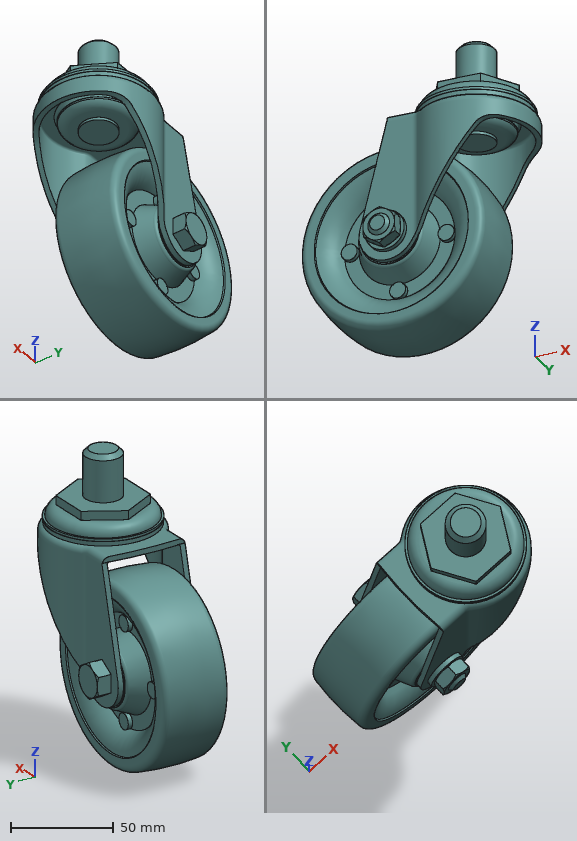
import cadquery as cq
import math


wheel_radius = 50.0
wheel_half_width = 18.9
tread_edge_radius = 49.1
tread_half_width = 15.4
tread_corner_radius = 3.7
rim_outer_radius = 45.4
rim_inner_radius = 41.4
rim_lip_width = 0.4
rim_lip_depth = 0.8
dish_radius = 29.6
dish_sag = 1.6
web_half_thickness = 9.0
hub_root_radius = 21.8
hub_shoulder_radius = 17.5
hub_shoulder_y = 18.8
hub_edge_radius = 1.9
hub_half_length = 20.4
spacer_radius = 15.7
stud_count = 4
stud_circle_radius = 26.0
stud_radius = 4.3
stud_height = 2.5

swivel_offset = 37.0
wall = 3.0
fork_half_width = 24.0
fork_radius = 32.0
fork_top_z = 113.7
fork_skirt_z = 102.0
skirt_corner_radius = 12.0
leg_end_radius = 15.0
rear_edge_angle = 56.0
bend_radius = 5.0
top_edge_radius = 4.0
inner_top_edge_radius = 1.3
lip_reach = 38.5
lip_sag = 1.4
axle_z = wheel_radius
axle_x = -swivel_offset
fork_inner_half_width = fork_half_width - wall
fork_underside_z = fork_top_z - wall

bolt_radius = 6.0
bolt_chamfer = 2.0
bolt_end_y = -35.4
hex_width = 17.0
head_height = 8.0
nut_height = 7.0
washer_radius = 10.5
washer_thickness = 2.6
hex_chamfer_angle = 30.0

stem_radius = 10.0
stem_chamfer = 2.5
stem_top_z = 153.0
collar_width = 40.0
collar_top_z = 128.2
collar_height = 4.8
cap_radius = 28.5
cap_edge_radius = 6.0
flange_radius = 29.75
flange_top_z = 117.5
flange_thickness = 1.4
seat_radius = 29.5
race_radius = 20.4
race_cove_radius = 1.3
race_rim_radius = 20.2
race_rim_z = 107.5
race_edge_z = 106.5
race_bottom_radius = 15.0
race_bottom_z = 103.0
race_edge_bulge = 0.9
rivet_radius = 10.0
rivet_bottom_z = 101.4


def axle_plane():
    """Plane through the axle centre with X radial and Y along the axle."""
    return cq.Workplane("XY", origin=(axle_x, 0, axle_z))


def axle_cylinder(radius, y_start, y_end):
    """Cylinder on the axle axis between two Y positions."""
    axle_end = cq.Workplane("XZ", origin=(axle_x, y_end, axle_z))
    return axle_end.circle(radius).extrude(y_end - y_start)


def make_wheel():
    """Crowned wheel with dished sides, a stepped hub and a ring of studs."""
    dish_rim_radius = rim_inner_radius - rim_lip_width
    dish_rim_y = wheel_half_width - rim_lip_depth
    profile = (
        axle_plane()
        .moveTo(bolt_radius, -fork_inner_half_width)
        .lineTo(spacer_radius, -fork_inner_half_width)
        .lineTo(spacer_radius, -hub_half_length)
        .radiusArc((hub_shoulder_radius, -hub_shoulder_y), -hub_edge_radius)
        .lineTo(hub_root_radius, -web_half_thickness)
        .lineTo(dish_radius, -web_half_thickness)
        .sagittaArc((dish_rim_radius, -dish_rim_y), -dish_sag)
        .lineTo(rim_inner_radius, -wheel_half_width)
        .lineTo(rim_outer_radius, -wheel_half_width)
        .radiusArc((tread_edge_radius, -tread_half_width), -tread_corner_radius)
        .threePointArc((wheel_radius, 0), (tread_edge_radius, tread_half_width))
        .radiusArc((rim_outer_radius, wheel_half_width), -tread_corner_radius)
        .lineTo(rim_inner_radius, wheel_half_width)
        .lineTo(dish_rim_radius, dish_rim_y)
        .sagittaArc((dish_radius, web_half_thickness), -dish_sag)
        .lineTo(hub_root_radius, web_half_thickness)
        .lineTo(hub_shoulder_radius, hub_shoulder_y)
        .radiusArc((spacer_radius, hub_half_length), -hub_edge_radius)
        .lineTo(spacer_radius, fork_inner_half_width)
        .lineTo(bolt_radius, fork_inner_half_width)
        .close()
    )
    wheel = profile.revolve(360, (0, 0, 0), (0, 1, 0))
    stud_half_length = web_half_thickness + stud_height
    studs = (
        cq.Workplane("XZ", origin=(axle_x, 0, axle_z))
        .polarArray(stud_circle_radius, 0, 360, stud_count)
        .circle(stud_radius)
        .extrude(stud_half_length, both=True)
    )
    return wheel.union(studs)


def fork_block(half_width, round_radius, corner_radius, top_z, edge_radius):
    """Solid with straight sides toward the wheel, a round end on the swivel axis and a rounded top."""
    reach = 2 * swivel_offset
    sides = cq.Workplane("XY").box(reach, 2 * half_width, top_z, centered=(False, True, False))
    block = sides.translate((-reach, 0, 0)).union(cq.Workplane("XY").circle(round_radius).extrude(top_z))
    junction_x = -math.sqrt(round_radius**2 - half_width**2)
    for side in (-1, 1):
        corner = cq.selectors.NearestToPointSelector((junction_x, side * half_width, top_z / 2))
        block = block.edges(corner).fillet(corner_radius)
    return block.faces(">Z").edges().fillet(edge_radius)


def fork_side():
    """Side outline of the fork: lip, tapered legs with a round end at the axle, and rear skirt."""
    leg_height = fork_underside_z - axle_z
    front_angle = math.asin(leg_end_radius / leg_height)
    front_x = axle_x - leg_end_radius * math.cos(front_angle)
    front_z = axle_z + leg_end_radius * math.sin(front_angle)
    slope = math.radians(rear_edge_angle)
    rear_x = axle_x + leg_end_radius * math.sin(slope)
    rear_z = axle_z - leg_end_radius * math.cos(slope)
    skirt_x = rear_x + (fork_skirt_z - rear_z) / math.tan(slope)
    side = (
        cq.Workplane("XZ")
        .moveTo(-lip_reach, fork_top_z)
        .lineTo(-lip_reach, fork_underside_z)
        .lineTo(axle_x, fork_underside_z)
        .lineTo(front_x, front_z)
        .threePointArc((axle_x, axle_z - leg_end_radius), (rear_x, rear_z))
        .lineTo(skirt_x, fork_skirt_z)
        .lineTo(fork_radius, fork_skirt_z)
        .lineTo(fork_radius, fork_top_z)
        .close()
        .extrude(fork_radius, both=True)
    )
    skirt_corner = cq.selectors.NearestToPointSelector((skirt_x, 0, fork_skirt_z))
    return side.edges(skirt_corner).fillet(skirt_corner_radius)


def make_fork():
    """Bent sheet fork with a bowed front lip, holed for the swivel and the axle."""
    outer = fork_block(fork_half_width, fork_radius, bend_radius, fork_top_z, top_edge_radius)
    inner = fork_block(
        fork_inner_half_width, fork_radius - wall, bend_radius + wall, fork_underside_z, inner_top_edge_radius
    )
    fork = outer.cut(inner).intersect(fork_side())
    lip_corner_x = lip_sag - lip_reach
    lip_trim = (
        cq.Workplane("XY", origin=(0, 0, fork_underside_z))
        .moveTo(-2 * swivel_offset, -fork_half_width)
        .lineTo(lip_corner_x, -fork_half_width)
        .threePointArc((-lip_reach, 0), (lip_corner_x, fork_half_width))
        .lineTo(-2 * swivel_offset, fork_half_width)
        .close()
        .extrude(wall)
    )
    swivel_hole = cq.Workplane("XY").circle(stem_radius).extrude(fork_top_z)
    axle_hole = axle_cylinder(bolt_radius, -fork_half_width, fork_half_width)
    return fork.cut(lip_trim).cut(swivel_hole).cut(axle_hole)


def hex_corner_radius(width):
    """Centre-to-corner radius of a hexagon with the given width across flats."""
    return width / 2 / math.cos(math.pi / 6)


def chamfered_hex(y_start, y_end, faces):
    """Hexagon on the axle axis whose corners are turned down at the selected end faces."""
    corner_radius = hex_corner_radius(hex_width)
    radial_cut = corner_radius - hex_width / 2
    axial_cut = radial_cut * math.tan(math.radians(hex_chamfer_angle))
    corner_up = 90
    hexagon = (
        cq.Workplane("XZ", origin=(axle_x, y_end, axle_z))
        .transformed(rotate=(0, 0, corner_up))
        .polygon(6, 2 * corner_radius)
        .extrude(y_end - y_start)
    )
    turned = axle_cylinder(corner_radius, y_start, y_end).faces(faces).chamfer(axial_cut, radial_cut)
    return hexagon.intersect(turned)


def make_axle():
    """Hex bolt through the fork and the wheel, with its washer and nut."""
    washer_y = -fork_half_width - washer_thickness
    nut_y = washer_y - nut_height
    head_y = fork_half_width + head_height
    shank = axle_cylinder(bolt_radius, bolt_end_y, fork_half_width).faces("<Y").chamfer(bolt_chamfer)
    washer = axle_cylinder(washer_radius, washer_y, -fork_half_width)
    nut = chamfered_hex(nut_y, washer_y, "<Y or >Y")
    head = chamfered_hex(fork_half_width, head_y, ">Y")
    return shank.union(washer).union(nut).union(head)


def make_swivel_head():
    """Stem, hex collar, domed cap and the race that clamps the fork from below."""
    collar_bottom_z = collar_top_z - collar_height
    flange_bottom_z = flange_top_z - flange_thickness
    cap_flat_radius = cap_radius - cap_edge_radius
    turned = (
        cq.Workplane("XZ")
        .moveTo(0, rivet_bottom_z)
        .lineTo(rivet_radius, rivet_bottom_z)
        .lineTo(rivet_radius, race_bottom_z)
        .lineTo(race_bottom_radius, race_bottom_z)
        .sagittaArc((race_rim_radius, race_edge_z), -race_edge_bulge)
        .lineTo(race_rim_radius, race_rim_z)
        .lineTo(race_radius, race_rim_z)
        .lineTo(race_radius, fork_underside_z - race_cove_radius)
        .radiusArc((race_radius + race_cove_radius, fork_underside_z), race_cove_radius)
        .lineTo(stem_radius, fork_underside_z)
        .lineTo(stem_radius, fork_top_z)
        .lineTo(seat_radius, fork_top_z)
        .lineTo(seat_radius, flange_bottom_z)
        .lineTo(flange_radius, flange_bottom_z)
        .lineTo(flange_radius, flange_top_z)
        .lineTo(cap_radius, flange_top_z)
        .radiusArc((cap_flat_radius, collar_bottom_z), -cap_edge_radius)
        .lineTo(stem_radius, collar_bottom_z)
        .lineTo(stem_radius, stem_top_z - stem_chamfer)
        .lineTo(stem_radius - stem_chamfer, stem_top_z)
        .lineTo(0, stem_top_z)
        .close()
        .revolve(360, (0, 0, 0), (0, 1, 0))
    )
    collar = (
        cq.Workplane("XY", origin=(0, 0, collar_bottom_z))
        .polygon(6, 2 * hex_corner_radius(collar_width))
        .extrude(collar_height)
    )
    return turned.union(collar)


wheel = make_wheel()
fork = make_fork()
axle = make_axle()
swivel_head = make_swivel_head()

result = cq.Compound.makeCompound([wheel.val(), fork.val(), axle.val(), swivel_head.val()])